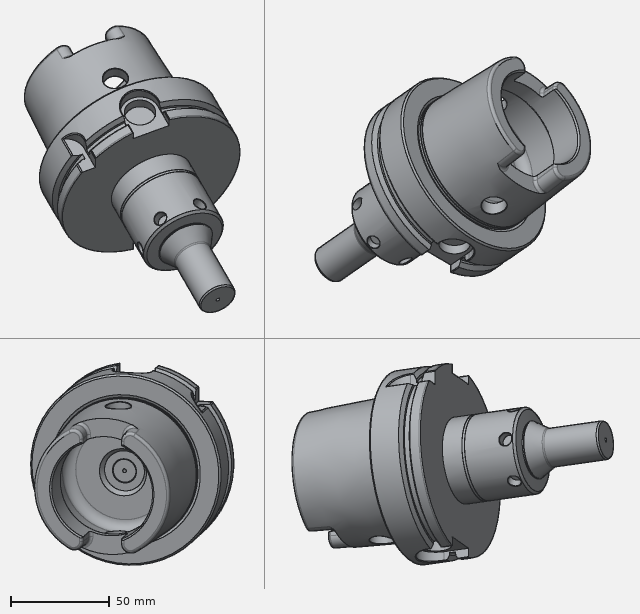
import cadquery as cq
import math

LENGTH = 160.0

SHANK_END_RADIUS = 35.5
TAPER_SLOPE = 0.05
NECK_START = 47.7
NECK_END = 49.3
NECK_FLANK = 0.5
NECK_RADIUS = 37.6
RELIEF_INNER_RADIUS = 38.0
RELIEF_OUTER_RADIUS = 39.4
RELIEF_DEPTH = 0.6
MOUTH_RADIUS = 27.4
BORE_RADIUS = 53.0 / 2
BORE_DEPTH = 44.8
LIP_END = 18.9
UNDERCUT_RADIUS = 30.4
UNDERCUT_ANGLE = 60.0
UNDERCUT_FLOOR_ROUND = 5.6
CROSS_HOLE_DIAMETER = 13.0
CROSS_HOLE_X = 35.0

SLOT_WIDTH = 20.0
TOP_SLOT_DEPTH = 10.0
BOTTOM_SLOT_DEPTH = 15.0
SLOT_CORNER_RADIUS = 5.0
SLOT_EDGE_ROUND = 1.6
PILOT_RADIUS = BORE_RADIUS - SLOT_EDGE_ROUND

FLANGE_START = 50.0
FLANGE_WIDTH = 28.8
FLANGE_END = FLANGE_START + FLANGE_WIDTH
FLANGE_RADIUS = 100.0 / 2
FLANGE_CHAMFER = 1.0
BACK_EDGE_WIDTH = 0.8
BACK_EDGE_DROP = 0.2
GROOVE_CENTRE = FLANGE_START + 19.8
GROOVE_FLOOR_WIDTH = 3.2
GROOVE_MOUTH_WIDTH = 6.2
GROOVE_WALL_HEIGHT = 1.3
GROOVE_RADIUS = 46.0

POCKET_X = 65.0
POCKET_RADIUS = 20.0 / 2
POCKET_FLOOR = 44.0
POCKET_HOLE_DIAMETER = 16.0
POCKET_HOLE_DEPTH = 5.6
NOTCH_WALL_Y = -31.4
NOTCH_FLOOR_Z = 31.4
POCKET_CHAMFER = 0.5
TOLERANCE = 0.002
RIM_CHAMFER = 0.24

COLLAR_RADIUS = 22.4
NOSE_RADIUS = 14.4
NOSE_END = 116.8
STEM_RADIUS = 20.0 / 2
STEM_START = 80.0
SINK_RADIUS = 24.6 / 2
SINK_FLOOR_RADIUS = 21.0 / 2
SINK_DEPTH = 3.2
SCREW_MOUTH_RADIUS = 12.6 / 2
SCREW_RADIUS = 12.0 / 2
SCREW_LENGTH = 16.0
COOLANT_DIAMETER = 2.0

NUT_START = 89.6
NUT_LIP_WIDTH = 1.5
NUT_LIP_RADIUS = 44.5 / 2
NUT_SHOULDER = 119.2
NUT_CHAMFER = 1.3
NUT_END = 119.7
NUT_HOLE_DIAMETER = 6.9
NUT_HOLE_X = 114.0
NUT_HOLE_FLOOR = 17.6
NUT_HOLE_COUNT = 6

CONE_START = 120.6
CONE_RADIUS = 30.0 / 2
CONE_ANGLE = 30.0
TOOL_NECK_ROUND = 1.6
TOOL_CHAMFER_LENGTH = 1.0
TOOL_CHAMFER_DROP = 0.5


def revolve(points):
    """Solid of revolution about X of a closed outline of (x, radius) points."""
    return cq.Workplane("XY").polyline(points).close().revolve(360, (0, 0, 0), (1, 0, 0))


def rod(start, end, radius):
    return cq.Workplane("YZ", origin=(start, 0, 0)).circle(radius).extrude(end - start)


def taper_radius(x):
    return SHANK_END_RADIUS + TAPER_SLOPE * x


def holder_blank():
    half_floor = GROOVE_FLOOR_WIDTH / 2
    half_mouth = GROOVE_MOUTH_WIDTH / 2
    return revolve([
        (0, 0),
        (0, SHANK_END_RADIUS),
        (NECK_START, taper_radius(NECK_START)),
        (NECK_START + NECK_FLANK, NECK_RADIUS),
        (NECK_END, NECK_RADIUS),
        (NECK_END, RELIEF_INNER_RADIUS),
        (FLANGE_START + RELIEF_DEPTH, RELIEF_INNER_RADIUS),
        (FLANGE_START, RELIEF_OUTER_RADIUS),
        (FLANGE_START, FLANGE_RADIUS - FLANGE_CHAMFER),
        (FLANGE_START + FLANGE_CHAMFER, FLANGE_RADIUS),
        (GROOVE_CENTRE - half_mouth, FLANGE_RADIUS),
        (GROOVE_CENTRE - half_floor, GROOVE_RADIUS + GROOVE_WALL_HEIGHT),
        (GROOVE_CENTRE - half_floor, GROOVE_RADIUS),
        (GROOVE_CENTRE + half_floor, GROOVE_RADIUS),
        (GROOVE_CENTRE + half_floor, GROOVE_RADIUS + GROOVE_WALL_HEIGHT),
        (GROOVE_CENTRE + half_mouth, FLANGE_RADIUS),
        (FLANGE_END - BACK_EDGE_WIDTH, FLANGE_RADIUS),
        (FLANGE_END, FLANGE_RADIUS - BACK_EDGE_DROP),
        (FLANGE_END, COLLAR_RADIUS),
        (NUT_START, COLLAR_RADIUS),
        (NUT_START, NOSE_RADIUS),
        (NOSE_END, NOSE_RADIUS),
        (NOSE_END, 0),
    ])


def holder_bore():
    """Clamping bore, countersink and screw hole, and the bore for the tool's stem."""
    mouth_depth = MOUTH_RADIUS - BORE_RADIUS
    undercut_start = LIP_END + (UNDERCUT_RADIUS - BORE_RADIUS) / math.tan(math.radians(UNDERCUT_ANGLE))
    sink_floor = BORE_DEPTH + SINK_DEPTH
    screw_mouth_end = sink_floor + SCREW_MOUTH_RADIUS - SCREW_RADIUS
    clamping = revolve([
        (0, 0),
        (0, MOUTH_RADIUS),
        (mouth_depth, BORE_RADIUS),
        (LIP_END, BORE_RADIUS),
        (undercut_start, UNDERCUT_RADIUS),
        (BORE_DEPTH, UNDERCUT_RADIUS),
        (BORE_DEPTH, 0),
    ]).faces(">X").edges().fillet(UNDERCUT_FLOOR_ROUND)
    inner = revolve([
        (BORE_DEPTH, 0),
        (BORE_DEPTH, SINK_RADIUS),
        (sink_floor, SINK_FLOOR_RADIUS),
        (sink_floor, SCREW_MOUTH_RADIUS),
        (screw_mouth_end, SCREW_RADIUS),
        (STEM_START, SCREW_RADIUS),
        (STEM_START, STEM_RADIUS),
        (NOSE_END, STEM_RADIUS),
        (NOSE_END, 0),
    ])
    return clamping.union(inner)


def drive_slot(depth):
    return cq.Workplane("XY").box(depth, SLOT_WIDTH, 2 * SHANK_END_RADIUS, centered=(False, True, False))


def wall_edges(body, along_x):
    """Edges of the drive slot walls: the outer corners that run along X, or the edges of the slot floors."""
    edges = []
    for edge in body.edges().vals():
        centre = edge.Center()
        on_wall = abs(abs(centre.y) - SLOT_WIDTH / 2) < TOLERANCE
        in_shank = TOLERANCE < centre.x < NECK_START
        outside = abs(centre.z) > PILOT_RADIUS
        runs_along_x = edge.BoundingBox().xlen > TOLERANCE
        if on_wall and in_shank and outside and runs_along_x == along_x:
            edges.append(edge)
    return body.newObject(edges)


def round_drive_slots(body):
    """Round the outer corners of the slots, the foot of their walls and the rim of the shank end."""
    body = wall_edges(body, True).fillet(SLOT_CORNER_RADIUS)
    body = wall_edges(body, False).fillet(SLOT_EDGE_ROUND)
    rim = []
    for edge in body.faces("<X").edges().vals():
        on_bore = edge.geomType() == "CIRCLE" and edge.radius() < SHANK_END_RADIUS - TOLERANCE
        if not on_bore:
            rim.append(edge)
    return body.newObject(rim).fillet(SLOT_EDGE_ROUND)


def flange_pocket():
    reach = FLANGE_RADIUS
    floor = cq.Workplane("XY", origin=(POCKET_X, 0, POCKET_FLOOR))
    pocket = floor.circle(POCKET_RADIUS).extrude(reach)
    run_out = floor.center(reach / 2, 0).rect(reach, 2 * POCKET_RADIUS).extrude(reach)
    hole = floor.circle(POCKET_HOLE_DIAMETER / 2).extrude(-POCKET_HOLE_DEPTH)
    return pocket.union(run_out).union(hole)


def flange_notch():
    reach = FLANGE_RADIUS
    floor = cq.Workplane("XY", origin=(POCKET_X, NOTCH_WALL_Y - POCKET_RADIUS, NOTCH_FLOOR_Z))
    notch = floor.circle(POCKET_RADIUS).extrude(reach)
    run_out = floor.center(reach / 2, 0).rect(reach, 2 * POCKET_RADIUS).extrude(reach)
    return notch.union(run_out)


def chamfer_rims(body, hole_x, hole_diameter, inner_radius):
    """Chamfer the outer rims of the radial holes at hole_x, which start at inner_radius."""
    rims = []
    for edge in body.edges().vals():
        centre = edge.Center()
        at_hole = abs(centre.x - hole_x) < hole_diameter / 2
        outside = math.hypot(centre.y, centre.z) > inner_radius + RIM_CHAMFER
        goes_round = edge.Length() > 2 * hole_diameter
        if at_hole and outside and goes_round:
            rims.append(edge)
    return body.newObject(rims).chamfer(RIM_CHAMFER)


def chamfer_pockets(body):
    """Break the edges where the pockets and the notch meet the outer surface of the flange."""
    edges = []
    for edge in body.edges().vals():
        ends = [math.hypot(end.y, end.z) for end in (edge.startPoint(), edge.endPoint())]
        on_surface = min(ends) > FLANGE_RADIUS - TOLERANCE
        runs_along_x = edge.BoundingBox().xlen > TOLERANCE
        is_seam = edge.Center().z > 0 and abs(edge.Center().y) < TOLERANCE and edge.geomType() == "LINE"
        if on_surface and runs_along_x and not is_seam:
            edges.append(edge)
    return body.newObject(edges).chamfer(POCKET_CHAMFER)


def half_turn(shape):
    return shape.rotate((0, 0, 0), (1, 0, 0), 180)


def make_holder():
    holder = holder_blank()
    holder = holder.cut(rod(0, BOTTOM_SLOT_DEPTH, PILOT_RADIUS))
    holder = holder.cut(drive_slot(TOP_SLOT_DEPTH))
    holder = holder.cut(half_turn(drive_slot(BOTTOM_SLOT_DEPTH)))
    holder = round_drive_slots(holder)
    holder = holder.cut(holder_bore())
    cross = cq.Workplane("XY", origin=(CROSS_HOLE_X, 0, -FLANGE_RADIUS))
    holder = holder.cut(cross.circle(CROSS_HOLE_DIAMETER / 2).extrude(2 * FLANGE_RADIUS))
    holder = chamfer_rims(holder, CROSS_HOLE_X, CROSS_HOLE_DIAMETER, UNDERCUT_RADIUS)
    holder = holder.cut(flange_pocket()).cut(half_turn(flange_pocket()))
    holder = holder.cut(flange_notch())
    return chamfer_pockets(holder)


def make_nut():
    lip_end = NUT_START + NUT_LIP_WIDTH
    nut = revolve([
        (NUT_START, NOSE_RADIUS),
        (NUT_START, NUT_LIP_RADIUS),
        (lip_end, NUT_LIP_RADIUS),
        (lip_end, COLLAR_RADIUS),
        (NUT_SHOULDER - NUT_CHAMFER, COLLAR_RADIUS),
        (NUT_SHOULDER, COLLAR_RADIUS - NUT_CHAMFER),
        (NUT_END, NOSE_RADIUS),
    ])
    hole = (
        cq.Workplane("XZ", origin=(NUT_HOLE_X, -NUT_HOLE_FLOOR, 0))
        .circle(NUT_HOLE_DIAMETER / 2)
        .extrude(COLLAR_RADIUS)
    )
    for index in range(NUT_HOLE_COUNT):
        nut = nut.cut(hole.rotate((0, 0, 0), (1, 0, 0), index * 360 / NUT_HOLE_COUNT))
    return chamfer_rims(nut, NUT_HOLE_X, NUT_HOLE_DIAMETER, NUT_HOLE_FLOOR)


def make_tool():
    cone_end = CONE_START + (CONE_RADIUS - STEM_RADIUS) / math.tan(math.radians(CONE_ANGLE))
    tool = revolve([
        (STEM_START, 0),
        (STEM_START, STEM_RADIUS),
        (NOSE_END, STEM_RADIUS),
        (NOSE_END, NOSE_RADIUS),
        (CONE_START, NOSE_RADIUS),
        (CONE_START, CONE_RADIUS),
        (cone_end, STEM_RADIUS),
        (LENGTH - TOOL_CHAMFER_LENGTH, STEM_RADIUS),
        (LENGTH, STEM_RADIUS - TOOL_CHAMFER_DROP),
        (LENGTH, 0),
    ])
    cone_foot = cq.selectors.BoxSelector(
        (cone_end - TOLERANCE, -CONE_RADIUS, -CONE_RADIUS), (cone_end + TOLERANCE, CONE_RADIUS, CONE_RADIUS), True
    )
    tool = tool.edges(cone_foot).fillet(TOOL_NECK_ROUND)
    return tool.cut(rod(STEM_START, LENGTH, COOLANT_DIAMETER / 2))


def make_screw():
    start = BORE_DEPTH + SINK_DEPTH
    screw = rod(start, start + SCREW_LENGTH, SCREW_RADIUS)
    return screw.cut(rod(start, start + SCREW_LENGTH, COOLANT_DIAMETER / 2))


holder = make_holder()
nut = make_nut()
tool = make_tool()
screw = make_screw()
result = cq.Compound.makeCompound([holder.val(), nut.val(), tool.val(), screw.val()])